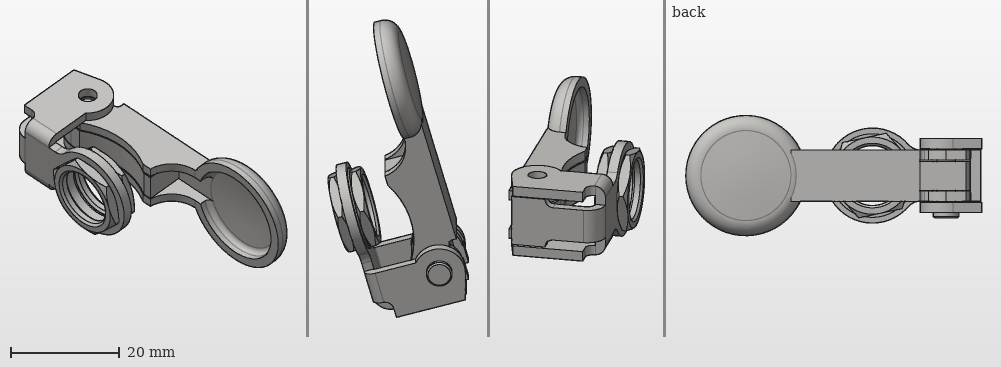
import cadquery as cq
import math


sheet = 1.9
plate_half_width = 4.73
plate_disc_radius = 8.77
neck_fillet = 3.0
plate_hole_radius = 6.1

ear_outer_z = 6.83
ear_inner_z = ear_outer_z - sheet
ear_bend_radius = ear_outer_z - plate_half_width
ear_left_x = -20.16
ear_right_x = -10.53
ear_shoulder_y = 16.68
ear_lobe_radius = 4.78

tongue_bend_inner = 1.5
tongue_bend_outer = tongue_bend_inner + sheet
tongue_outer_x = -19.98
tongue_inner_x = tongue_outer_x + sheet
tongue_bend_x = tongue_outer_x + tongue_bend_outer
tongue_half_width = 3.2
tongue_step_y = 10.65
tongue_top_y = 16.95
relief_radius = 1.6

pivot_x = -13.58
pivot_y = 13.54
pin_radius = 1.72
pin_tip_chamfer = 0.45
pin_tip_z = plate_half_width
pin_head_radius = 2.38
pin_head_height = 1.0
pin_head_chamfer = 0.3

nut_height = 2.0
nut_flats = 14.2
nut_corners = nut_flats / math.cos(math.pi / 6)
nut_turn = -12
nut_chamfer_angle = math.radians(30)
nut_bore_radius = 5.5
nut_bore_chamfer = 0.45
washer_radius = 7.7
washer_thickness = 0.3

lid_x = 23.295
lid_radius = 11.095
lid_wall = 1.85
lid_rim_y = 14.29
lid_round_y = 15.5
lid_round_radius = 2.8
lid_cavity_round_radius = 1.05
lid_crown = 0.46
lid_crown_y = lid_round_y + lid_round_radius
lid_flat_radius = lid_radius - lid_round_radius
lid_floor_y = lid_crown_y - lid_wall

arm_top_y = 18.12
arm_barrel_radius = 4.4
arm_tail_x = -17.2
arm_lip_y = 8.85
arm_lip_left_x = 5.05
arm_lip_right_x = 6.95
arm_arch_left_x = -11.0
arm_arch_y = 11.03
arm_cove_radius = 6.2
arm_cove_x = 13.1
notch_wall_x = -8.76
notch_floor_y = 16.5
notch_corner_radius = 0.85
slot_half_width = 2.88

insert_low_z = -2.73
insert_high_z = 2.55
insert_recess = 0.1


def along_z(z_low):
    """Workplane parallel to XY at the given height, for profiles extruded along Z."""
    return cq.Workplane("XY", origin=(0, 0, z_low))


def facing_y(y):
    """Workplane at the given Y whose axes are X and Z and whose normal is +Y."""
    return cq.Workplane(cq.Plane(origin=(0, y, 0), xDir=(1, 0, 0), normal=(0, 1, 0)))


def slab(x_low, x_high, y_low, y_high, z_low, z_high):
    """Box given by its limits."""
    size = (x_high - x_low, y_high - y_low, z_high - z_low)
    return cq.Workplane("XY").box(*size, centered=False).translate((x_low, y_low, z_low))


def block(x_low, x_high, y_low, y_high, half_width):
    """Box symmetric about Z = 0."""
    return slab(x_low, x_high, y_low, y_high, -half_width, half_width)


def pivot_rod(radius, z_low, z_high):
    """Cylinder on the pivot axis."""
    return along_z(z_low).center(pivot_x, pivot_y).circle(radius).extrude(z_high - z_low)


def make_plate():
    """Flat strip widening into the round nut seat, with filleted necks."""
    strip = block(tongue_bend_x, 0, 0, sheet, plate_half_width)
    seat = facing_y(0).circle(plate_disc_radius).extrude(sheet)
    neck_x = -math.sqrt(plate_disc_radius ** 2 - plate_half_width ** 2)
    plate = strip.union(seat)
    for neck_z in (-plate_half_width, plate_half_width):
        neck = cq.selectors.NearestToPointSelector((neck_x, sheet / 2, neck_z))
        plate = plate.edges("|Y").edges(neck).fillet(neck_fillet)
    return plate


def make_ear():
    """Side ear on +Z: a pivot lobe on a wall that bends into the plate."""
    corner_dx = ear_left_x - pivot_x
    corner_dy = ear_shoulder_y - pivot_y
    corner_distance = math.hypot(corner_dx, corner_dy)
    tangent_angle = math.atan2(corner_dy, corner_dx) - math.acos(ear_lobe_radius / corner_distance)
    tangent_x = pivot_x + ear_lobe_radius * math.cos(tangent_angle)
    tangent_y = pivot_y + ear_lobe_radius * math.sin(tangent_angle)
    lobe_drop = math.sqrt(ear_lobe_radius ** 2 - (ear_right_x - pivot_x) ** 2)
    relief_x = tongue_bend_x - relief_radius
    relief_mid = relief_radius / math.sqrt(2)
    wall = (
        along_z(ear_inner_z)
        .moveTo(ear_left_x, sheet + relief_radius)
        .lineTo(ear_left_x, ear_shoulder_y)
        .lineTo(tangent_x, tangent_y)
        .threePointArc((pivot_x + ear_lobe_radius, pivot_y), (ear_right_x, pivot_y - lobe_drop))
        .lineTo(ear_right_x, ear_bend_radius)
        .lineTo(tongue_bend_x, ear_bend_radius)
        .lineTo(tongue_bend_x, sheet)
        .threePointArc(
            (relief_x + relief_mid, sheet + relief_mid),
            (relief_x, sheet + relief_radius),
        )
        .close()
        .extrude(sheet)
    )
    wall = wall.cut(block(tongue_bend_x, ear_right_x, 0, ear_bend_radius, ear_outer_z))
    bend_inner = ear_bend_radius - sheet
    outer_mid = ear_bend_radius / math.sqrt(2)
    inner_mid = bend_inner / math.sqrt(2)
    bend = (
        cq.Workplane("YZ", origin=(tongue_bend_x, 0, 0))
        .moveTo(0, plate_half_width)
        .threePointArc(
            (ear_bend_radius - outer_mid, plate_half_width + outer_mid), (ear_bend_radius, ear_outer_z)
        )
        .lineTo(ear_bend_radius, ear_inner_z)
        .threePointArc(
            (ear_bend_radius - inner_mid, plate_half_width + inner_mid), (sheet, plate_half_width)
        )
        .close()
        .extrude(ear_right_x - tongue_bend_x)
    )
    return wall.union(bend)


def make_tongue():
    """Back tongue: a bend up from the plate, then a wall that widens at its upper part."""
    bend_y = tongue_bend_outer
    outer_mid = tongue_bend_outer / math.sqrt(2)
    inner_mid = tongue_bend_inner / math.sqrt(2)
    bend = (
        along_z(-tongue_half_width)
        .moveTo(tongue_bend_x, 0)
        .threePointArc((tongue_bend_x - outer_mid, bend_y - outer_mid), (tongue_outer_x, bend_y))
        .lineTo(tongue_inner_x, bend_y)
        .threePointArc((tongue_bend_x - inner_mid, bend_y - inner_mid), (tongue_bend_x, sheet))
        .close()
        .extrude(2 * tongue_half_width)
    )
    step = plate_half_width - tongue_half_width
    neck_y = tongue_step_y - step
    arc_mid_y = neck_y + step / math.sqrt(2)
    arc_mid_z = plate_half_width - step / math.sqrt(2)
    wall = (
        cq.Workplane("YZ", origin=(tongue_outer_x, 0, 0))
        .moveTo(bend_y, tongue_half_width)
        .lineTo(neck_y, tongue_half_width)
        .threePointArc((arc_mid_y, arc_mid_z), (tongue_step_y, plate_half_width))
        .lineTo(tongue_top_y, plate_half_width)
        .lineTo(tongue_top_y, -plate_half_width)
        .lineTo(tongue_step_y, -plate_half_width)
        .threePointArc((arc_mid_y, -arc_mid_z), (neck_y, -tongue_half_width))
        .lineTo(bend_y, -tongue_half_width)
        .close()
        .extrude(sheet)
    )
    return bend.union(wall)


def make_bracket():
    ear = make_ear()
    bracket = make_plate().union(make_tongue()).union(ear).union(ear.mirror("XY"))
    nut_hole = facing_y(0).circle(plate_hole_radius).extrude(sheet)
    return bracket.cut(nut_hole).cut(pivot_rod(pin_radius, -ear_outer_z, ear_outer_z))


def arm_profile(z_low, z_high, arch_recess=0.0):
    """Side shape of the arm, from the pivot barrel to the lid, extruded between two heights.

    The recess enlarges the arch under the arm without moving its centre.
    """
    width = z_high - z_low
    arch_half_span = (arm_lip_left_x - arm_arch_left_x) / 2
    arch_rise = arm_arch_y - arm_lip_y
    arch_drop = (arch_half_span ** 2 - arch_rise ** 2) / (2 * arch_rise)
    arch_radius = arch_drop + arch_rise + arch_recess
    arch_reach = math.sqrt(arch_radius ** 2 - arch_drop ** 2)
    arch_mid_x = (arm_lip_left_x + arm_arch_left_x) / 2
    cove_y = lid_rim_y - arm_cove_radius
    cove_mid = arm_cove_radius / math.sqrt(2)
    beam = (
        along_z(z_low)
        .moveTo(pivot_x, arm_top_y)
        .lineTo(lid_x - lid_flat_radius, arm_top_y)
        .lineTo(lid_x - lid_flat_radius, lid_rim_y)
        .lineTo(arm_cove_x, lid_rim_y)
        .threePointArc((arm_cove_x - cove_mid, cove_y + cove_mid), (arm_lip_right_x, arm_lip_y))
        .lineTo(arch_mid_x + arch_reach, arm_lip_y)
        .threePointArc((arch_mid_x, arm_arch_y + arch_recess), (arch_mid_x - arch_reach, arm_lip_y))
        .lineTo(pivot_x, pivot_y - arm_barrel_radius)
        .close()
        .extrude(width)
    )
    notch = (
        slab(pivot_x, notch_wall_x, notch_floor_y, arm_top_y, z_low, z_high)
        .edges("|Z and >X and <Y")
        .fillet(notch_corner_radius)
    )
    barrel = pivot_rod(arm_barrel_radius, z_low, z_high)
    tail = slab(arm_tail_x, pivot_x, pivot_y, arm_top_y, z_low, z_high)
    return beam.cut(notch).union(barrel).union(tail)


def lid_dish(radius, corner_radius, crown_y, bottom_y):
    """Solid of revolution: straight rim, rounded corner and a shallow crown."""
    flat_radius = radius - corner_radius
    corner_y = crown_y - corner_radius
    corner_mid = corner_radius / math.sqrt(2)
    crown_radius = (flat_radius ** 2 + lid_crown ** 2) / (2 * lid_crown)
    mid_radius = flat_radius / 2
    mid_y = crown_y + lid_crown - crown_radius + math.sqrt(crown_radius ** 2 - mid_radius ** 2)
    return (
        cq.Workplane("XY")
        .moveTo(0, bottom_y)
        .lineTo(radius, bottom_y)
        .lineTo(radius, corner_y)
        .threePointArc((flat_radius + corner_mid, corner_y + corner_mid), (flat_radius, crown_y))
        .threePointArc((mid_radius, mid_y), (0, crown_y + lid_crown))
        .close()
        .revolve(360, (0, 0, 0), (0, 1, 0))
        .translate((lid_x, 0, 0))
    )


def make_slot():
    """Slot along the arm: under the web to the lid, and full height behind the notch wall."""
    under_web = block(ear_left_x, lid_x - lid_flat_radius / 2, 0, lid_floor_y, slot_half_width)
    open_end = block(ear_left_x, notch_wall_x, 0, arm_top_y, slot_half_width)
    return under_web.union(open_end)


def make_lid():
    shell = lid_dish(lid_radius, lid_round_radius, lid_crown_y, lid_rim_y)
    cavity = lid_dish(lid_radius - lid_wall, lid_cavity_round_radius, lid_floor_y, lid_rim_y)
    lid = shell.union(arm_profile(-plate_half_width, plate_half_width)).cut(cavity).cut(make_slot())
    return lid.cut(pivot_rod(pin_radius, -plate_half_width, plate_half_width))


def make_insert():
    """Filler under the arm web, carried on the pin and following the arm's side shape."""
    reach = slab(ear_left_x, arm_lip_right_x, 0, lid_floor_y, insert_low_z, insert_high_z)
    insert = arm_profile(insert_low_z, insert_high_z, insert_recess).intersect(reach)
    return insert.cut(pivot_rod(pin_radius, insert_low_z, insert_high_z))


def make_pin():
    shank = pivot_rod(pin_radius, -ear_outer_z, pin_tip_z).faces(">Z").chamfer(pin_tip_chamfer)
    head = pivot_rod(pin_head_radius, -ear_outer_z - pin_head_height, -ear_outer_z)
    return shank.union(head.faces("<Z").chamfer(pin_head_chamfer))


def make_nut(y_low):
    """Hexagon nut with chamfered corners and a countersunk bore."""
    hexagon = facing_y(y_low).polygon(6, nut_corners).extrude(nut_height)
    hexagon = hexagon.rotate((0, 0, 0), (0, 1, 0), -nut_turn)
    face_radius = nut_flats / 2
    corner_radius = nut_corners / 2
    corner_drop = (corner_radius - face_radius) * math.tan(nut_chamfer_angle)
    countersunk_radius = nut_bore_radius + nut_bore_chamfer
    y_high = y_low + nut_height
    envelope = (
        cq.Workplane("XY")
        .moveTo(countersunk_radius, y_low)
        .lineTo(face_radius, y_low)
        .lineTo(corner_radius, y_low + corner_drop)
        .lineTo(corner_radius, y_high - corner_drop)
        .lineTo(face_radius, y_high)
        .lineTo(countersunk_radius, y_high)
        .lineTo(nut_bore_radius, y_high - nut_bore_chamfer)
        .lineTo(nut_bore_radius, y_low + nut_bore_chamfer)
        .close()
        .revolve(360, (0, 0, 0), (0, 1, 0))
    )
    return hexagon.intersect(envelope)


def make_washer():
    return facing_y(sheet).circle(washer_radius).circle(plate_hole_radius).extrude(washer_thickness)


bracket = make_bracket()
lid = make_lid()
insert = make_insert()
pin = make_pin()
washer = make_washer()
nuts = [make_nut(y_low) for y_low in (-nut_height, sheet + washer_thickness)]

bodies = [bracket, lid, insert, pin, washer, *nuts]
result = cq.Compound.makeCompound([body.val() for body in bodies])